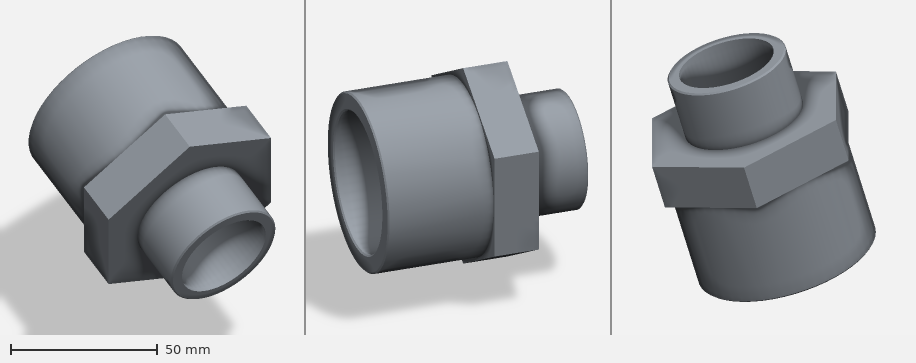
import cadquery as cq

total_length = 76.0
socket_length = 38.0
hexagon_length = 15.95
socket_depth = 31.15
recess_depth = 39.5

socket_outer_diameter = 63.0
socket_bore_diameter = 50.0
recess_diameter = 47.5
spigot_diameter = 41.9
passage_diameter = 33.5
across_corners = 75.1

edge_chamfer = 0.5

spigot_start = socket_length + hexagon_length
spigot_length = total_length - spigot_start


def cylinder(start, length, diameter):
    """Solid cylinder along +X starting at the given X position."""
    return cq.Workplane("YZ", origin=(start, 0, 0)).circle(diameter / 2).extrude(length)


def hexagon_grip():
    """Wrench hexagon with flats facing +Y and -Y and corners at top and bottom."""
    return (
        cq.Workplane("YZ", origin=(socket_length, 0, 0))
        .transformed(rotate=(0, 0, 90))
        .polygon(6, across_corners)
        .extrude(hexagon_length)
    )


socket = cylinder(0, socket_length, socket_outer_diameter).faces("<X").chamfer(edge_chamfer)
spigot = cylinder(spigot_start, spigot_length, spigot_diameter).faces(">X").chamfer(edge_chamfer)
body = socket.union(hexagon_grip()).union(spigot)

body = body.cut(cylinder(0, socket_depth, socket_bore_diameter))
body = body.faces("<X").edges(cq.selectors.RadiusNthSelector(0)).chamfer(edge_chamfer)
body = body.cut(cylinder(socket_depth, recess_depth - socket_depth, recess_diameter))
result = body.cut(cylinder(0, total_length, passage_diameter))